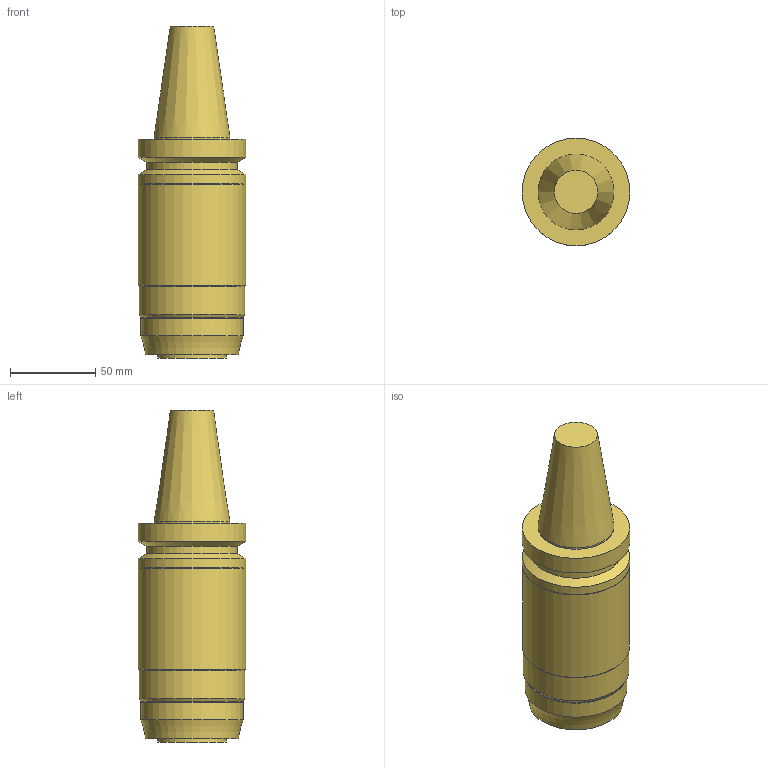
import cadquery as cq
import math

gauge_diameter = 44.45
shank_length = 65.4
taper_ratio = 7 / 24
flange_face_z = -1.0

flange_diameter = 63.0
flange_end_z = -27.0
groove_root_diameter = 53.0
groove_center_z = -16.6
groove_root_width = 4.3
groove_wall_angle = 30.0

body_diameter = 62.7
flange_step_height = 0.4
body_end_z = -86.5
sleeve_diameter = 62.0
body_step_height = 0.5
sleeve_end_z = -105.4
sleeve_chamfer_height = 1.8
sleeve_tip_diameter = 59.9

neck_diameter = 58.9
neck_height = 0.5
collar_diameter = 59.9
collar_end_z = -116.0
nose_middle_diameter = 56.4
nose_end_diameter = 54.4
nose_end_z = -127.0
spigot_diameter = 39.84
spigot_end_z = -129.0

top_diameter = gauge_diameter - shank_length * taper_ratio
groove_depth = (flange_diameter - groove_root_diameter) / 2
groove_wall_height = groove_depth * math.tan(math.radians(groove_wall_angle))
groove_root_top_z = groove_center_z + groove_root_width / 2
groove_root_bottom_z = groove_center_z - groove_root_width / 2
nose_middle_z = (collar_end_z + nose_end_z) / 2


def profile_point(diameter, z):
    """Point of the half profile in the XZ plane."""
    return (diameter / 2, z)


def half_profile():
    """Closed half outline of the turned part, from the top end to the spigot."""
    neck_bottom_z = sleeve_end_z - neck_height
    outline = cq.Workplane("XZ").moveTo(0, shank_length)

    outline = outline.lineTo(*profile_point(top_diameter, shank_length))
    outline = outline.lineTo(*profile_point(gauge_diameter, 0))
    outline = outline.lineTo(*profile_point(gauge_diameter, flange_face_z))

    outline = outline.lineTo(*profile_point(flange_diameter, flange_face_z))
    outline = outline.lineTo(*profile_point(flange_diameter, groove_root_top_z + groove_wall_height))
    outline = outline.lineTo(*profile_point(groove_root_diameter, groove_root_top_z))
    outline = outline.lineTo(*profile_point(groove_root_diameter, groove_root_bottom_z))
    outline = outline.lineTo(*profile_point(flange_diameter, groove_root_bottom_z - groove_wall_height))
    outline = outline.lineTo(*profile_point(flange_diameter, flange_end_z))

    outline = outline.lineTo(*profile_point(body_diameter, flange_end_z - flange_step_height))
    outline = outline.lineTo(*profile_point(body_diameter, body_end_z))
    outline = outline.lineTo(*profile_point(sleeve_diameter, body_end_z - body_step_height))
    outline = outline.lineTo(*profile_point(sleeve_diameter, sleeve_end_z + sleeve_chamfer_height))
    outline = outline.lineTo(*profile_point(sleeve_tip_diameter, sleeve_end_z))

    outline = outline.lineTo(*profile_point(neck_diameter, sleeve_end_z))
    outline = outline.lineTo(*profile_point(neck_diameter, neck_bottom_z))
    outline = outline.lineTo(*profile_point(collar_diameter, neck_bottom_z))
    outline = outline.lineTo(*profile_point(collar_diameter, collar_end_z))
    outline = outline.threePointArc(
        profile_point(nose_middle_diameter, nose_middle_z),
        profile_point(nose_end_diameter, nose_end_z),
    )

    outline = outline.lineTo(*profile_point(spigot_diameter, nose_end_z))
    outline = outline.lineTo(*profile_point(spigot_diameter, spigot_end_z))
    return outline.lineTo(0, spigot_end_z).close()


result = half_profile().revolve(360, (0, 0, 0), (0, 1, 0))